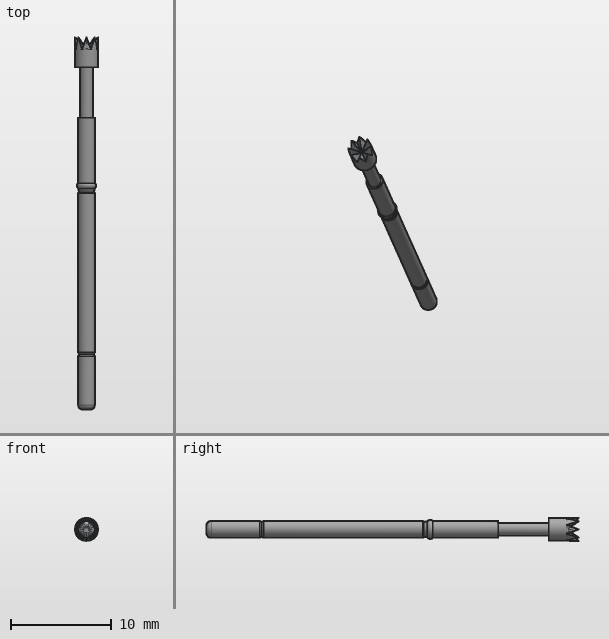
import cadquery as cq
import math

TOTAL_LENGTH = 37.0

HEAD_RADIUS = 1.15
HEAD_LENGTH = 3.0
PLUNGER_RADIUS = 0.65
PLUNGER_LENGTH = 5.0

TOOTH_COUNT = 8
TOOTH_DEPTH = 1.2

BARREL_RADIUS = 0.85
TAIL_ROUND_RADIUS = 0.5

COLLAR_RADIUS = 0.96
COLLAR_WIDTH = 0.54
COLLAR_CENTER = 22.23

REAR_GROOVE_DEPTH = 0.1
REAR_GROOVE_WIDTH = 0.4
REAR_GROOVE_CENTER = 5.5

NECK_RADIUS = 0.8
NECK_LENGTH = 0.16
NECK_GROOVE_RADIUS = 0.74
NECK_GROOVE_FRONT_WIDTH = 0.22
NECK_GROOVE_REAR_WIDTH = 0.06

HEAD_START = TOTAL_LENGTH - HEAD_LENGTH
BARREL_END = HEAD_START - PLUNGER_LENGTH
COLLAR_REAR = COLLAR_CENTER - COLLAR_WIDTH / 2
COLLAR_FRONT = COLLAR_CENTER + COLLAR_WIDTH / 2
NECK_REAR = COLLAR_REAR - NECK_LENGTH
NECK_GROOVE_BOTTOM = NECK_REAR - NECK_GROOVE_FRONT_WIDTH
NECK_GROOVE_REAR = NECK_GROOVE_BOTTOM - NECK_GROOVE_REAR_WIDTH


def make_turned_body():
    """Everything turned about the Y axis; profile points are (position along Y, radius)."""
    tail_flat_radius = BARREL_RADIUS - TAIL_ROUND_RADIUS
    tail_round_middle = (
        TAIL_ROUND_RADIUS * (1 - math.cos(math.radians(45))),
        tail_flat_radius + TAIL_ROUND_RADIUS * math.sin(math.radians(45)),
    )
    profile = (
        cq.Workplane("YZ")
        .moveTo(0, 0)
        .lineTo(0, tail_flat_radius)
        .threePointArc(tail_round_middle, (TAIL_ROUND_RADIUS, BARREL_RADIUS))
        .lineTo(REAR_GROOVE_CENTER - REAR_GROOVE_WIDTH / 2, BARREL_RADIUS)
        .lineTo(REAR_GROOVE_CENTER, BARREL_RADIUS - REAR_GROOVE_DEPTH)
        .lineTo(REAR_GROOVE_CENTER + REAR_GROOVE_WIDTH / 2, BARREL_RADIUS)
        .lineTo(NECK_GROOVE_REAR, BARREL_RADIUS)
        .lineTo(NECK_GROOVE_BOTTOM, NECK_GROOVE_RADIUS)
        .lineTo(NECK_REAR, NECK_RADIUS)
        .lineTo(COLLAR_REAR, NECK_RADIUS)
        .threePointArc((COLLAR_CENTER, COLLAR_RADIUS), (COLLAR_FRONT, BARREL_RADIUS))
        .lineTo(BARREL_END, BARREL_RADIUS)
        .lineTo(BARREL_END, PLUNGER_RADIUS)
        .lineTo(HEAD_START, PLUNGER_RADIUS)
        .lineTo(HEAD_START, HEAD_RADIUS)
        .lineTo(TOTAL_LENGTH, HEAD_RADIUS)
        .lineTo(TOTAL_LENGTH, 0)
        .close()
    )
    return profile.revolve(360, (0, 0, 0), (1, 0, 0))


def cut_crown(body):
    """Cut V-grooves across the head so that pointed teeth remain around its rim."""
    tooth_pitch = 360 / TOOTH_COUNT
    half_width = HEAD_RADIUS * math.sin(math.radians(tooth_pitch / 2))
    v_groove = (
        cq.Workplane("XY")
        .moveTo(-half_width, TOTAL_LENGTH)
        .lineTo(0, TOTAL_LENGTH - TOOTH_DEPTH)
        .lineTo(half_width, TOTAL_LENGTH)
        .close()
        .extrude(2 * HEAD_RADIUS, both=True)
    )
    for index in range(TOOTH_COUNT // 2):
        angle = (index + 0.5) * tooth_pitch
        body = body.cut(v_groove.rotate((0, 0, 0), (0, 1, 0), angle))
    return body


result = cut_crown(make_turned_body())